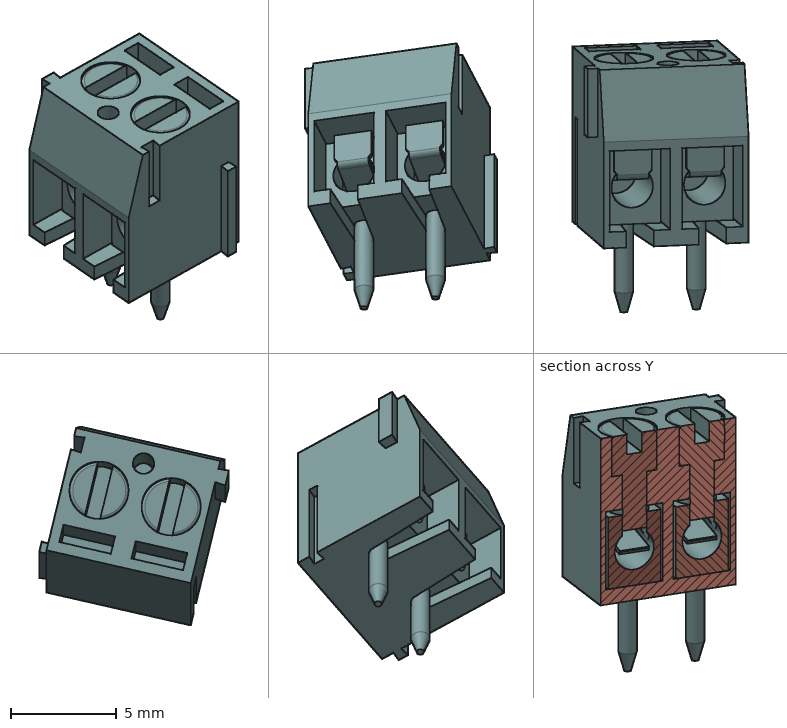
import cadquery as cq
import math


WIDTH = 7.0
DEPTH = 7.0
HEIGHT = 8.42
SLOPE_DEPTH = 0.9
SLOPE_HEIGHT = 3.3
SHOULDER_Z = HEIGHT - SLOPE_HEIGHT

PITCH = 3.5
POLE_XS = [-PITCH / 2, PITCH / 2]
POLE_Y = 3.6

FLOOR = 0.78
OPENING_WIDTH = 2.93
OPENING_HEIGHT = 3.89
OPENING_TOP = FLOOR + OPENING_HEIGHT
FLOOR_SLOT_WIDTH = 1.34

CAGE_FRONT = 1.75
CAGE_WIDTH = 2.75
CAGE_HEIGHT = 3.61
CAGE_DEPTH = 2 * (POLE_Y - CAGE_FRONT)
CAGE_BACK = CAGE_FRONT + CAGE_DEPTH
WIRE_DIAMETER = 2.0
WIRE_Z = FLOOR + 1.79
PIN_DIAMETER = 0.9
PIN_LENGTH = 3.78
PIN_TIP_DIAMETER = 0.33
PIN_TIP_LENGTH = 1.0

HEAD_DIAMETER = 2.79
HEAD_LENGTH = 2.0
HEAD_FILLET = 0.15
SHANK_DIAMETER = 2.0
SHANK_END_Z = WIRE_Z + WIRE_DIAMETER / 2
DRIVER_SLOT_WIDTH = 0.75
DRIVER_SLOT_DEPTH = 1.0

LEAF_THICKNESS = 0.2
LEAF_WIDTH = 1.8
LEAF_TIP_WIDTH = 1.52
LEAF_TAPER_Z = FLOOR + 2.6
LEAF_BEND_Z = FLOOR + 2.43
LEAF_BEND_RADIUS = 0.29
LEAF_BEND_ANGLE = math.radians(79)
LEAF_TIP_LENGTH = 2.62

WINDOW_WIDTH = 2.5
WINDOW_DEPTH = 0.87
WINDOW_BACK_WALL = 0.52
WINDOW_Y = DEPTH - WINDOW_BACK_WALL - WINDOW_DEPTH / 2
TOP_POCKET_DEPTH = 2.0
BLIND_HOLE_DIAMETER = 1.0
BLIND_HOLE_Y = 1.85

DOVETAIL_REACH = 0.5
FRONT_DOVETAIL_Y = 1.63
FRONT_DOVETAIL_ROOT = 0.66
FRONT_DOVETAIL_TIP = 0.76
REAR_DOVETAIL_Y = DEPTH - 0.88
REAR_DOVETAIL_ROOT = 0.45
REAR_DOVETAIL_TIP = 0.54


def block(width, depth, height, x, y_front, z_bottom):
    """Box centred on x, reaching back from y_front and up from z_bottom."""
    box = cq.Workplane("XY").box(width, depth, height, centered=(True, False, False))
    return box.translate((x, y_front, z_bottom))


def post(diameter, x, y, z_bottom, z_top):
    """Vertical cylinder."""
    return cq.Workplane("XY", origin=(x, y, z_bottom)).circle(diameter / 2).extrude(z_top - z_bottom)


def dovetail(root_x, direction, y, root, tip, z_bottom, height):
    """Vertical bar that widens from root_x outward along X in the given direction."""
    tip_x = root_x + direction * DOVETAIL_REACH
    outline = [
        (root_x, y - root / 2),
        (tip_x, y - tip / 2),
        (tip_x, y + tip / 2),
        (root_x, y + root / 2),
    ]
    return cq.Workplane("XY", origin=(0, 0, z_bottom)).polyline(outline).close().extrude(height)


def front_dovetail(root_x, direction):
    return dovetail(root_x, direction, FRONT_DOVETAIL_Y, FRONT_DOVETAIL_ROOT, FRONT_DOVETAIL_TIP,
                    SHOULDER_Z, SLOPE_HEIGHT)


def rear_dovetail(root_x, direction):
    return dovetail(root_x, direction, REAR_DOVETAIL_Y, REAR_DOVETAIL_ROOT, REAR_DOVETAIL_TIP,
                    0, SHOULDER_Z)


def make_pole_cavity(x):
    """Everything removed from the housing for one pole."""
    opening = block(OPENING_WIDTH, CAGE_BACK, OPENING_HEIGHT, x, 0, FLOOR)
    floor_slot_outline = [
        (-FLOOR_SLOT_WIDTH / 2, 0),
        (FLOOR_SLOT_WIDTH / 2, 0),
        (PIN_DIAMETER / 2, POLE_Y),
        (-PIN_DIAMETER / 2, POLE_Y),
    ]
    floor_slot = cq.Workplane("XY", origin=(x, 0, 0)).polyline(floor_slot_outline).close().extrude(FLOOR)
    floor_slot_end = post(PIN_DIAMETER, x, POLE_Y, 0, FLOOR)
    head_bore = post(HEAD_DIAMETER, x, POLE_Y, HEIGHT - HEAD_LENGTH, HEIGHT)
    shank_bore = post(SHANK_DIAMETER, x, POLE_Y, OPENING_TOP, HEIGHT - HEAD_LENGTH)
    window = block(WINDOW_WIDTH, WINDOW_DEPTH, TOP_POCKET_DEPTH,
                   x, WINDOW_Y - WINDOW_DEPTH / 2, HEIGHT - TOP_POCKET_DEPTH)
    return (
        opening.union(floor_slot)
        .union(floor_slot_end)
        .union(shank_bore)
        .union(head_bore)
        .union(window)
    )


def make_housing():
    side_profile = [
        (0, 0),
        (DEPTH, 0),
        (DEPTH, HEIGHT),
        (SLOPE_DEPTH, HEIGHT),
        (0, SHOULDER_Z),
    ]
    body = cq.Workplane("YZ").polyline(side_profile).close().extrude(WIDTH / 2, both=True)

    for x in POLE_XS:
        body = body.cut(make_pole_cavity(x))
    body = body.cut(post(BLIND_HOLE_DIAMETER, 0, BLIND_HOLE_Y, HEIGHT - TOP_POCKET_DEPTH, HEIGHT))

    left = -WIDTH / 2
    right = WIDTH / 2
    body = body.union(front_dovetail(left, -1)).cut(front_dovetail(right, -1))
    return body.union(rear_dovetail(right, 1)).cut(rear_dovetail(left, 1))


def make_terminal(x):
    """Cage with a wire hole, a screw hole in its roof and a pointed pin below."""
    cage = block(CAGE_WIDTH, CAGE_DEPTH, CAGE_HEIGHT, x, CAGE_FRONT, FLOOR)
    wire_hole = (
        cq.Workplane("XZ", origin=(x, CAGE_FRONT, WIRE_Z))
        .circle(WIRE_DIAMETER / 2)
        .extrude(-CAGE_DEPTH)
    )
    screw_hole = post(SHANK_DIAMETER, x, POLE_Y, WIRE_Z, FLOOR + CAGE_HEIGHT)

    pin_profile = [
        (0, FLOOR),
        (PIN_DIAMETER / 2, FLOOR),
        (PIN_DIAMETER / 2, PIN_TIP_LENGTH - PIN_LENGTH),
        (PIN_TIP_DIAMETER / 2, -PIN_LENGTH),
        (0, -PIN_LENGTH),
    ]
    pin = (
        cq.Workplane("XZ", origin=(x, POLE_Y, 0))
        .polyline(pin_profile)
        .close()
        .revolve(360, (0, 0), (0, 1))
    )
    return cage.cut(wire_hole).cut(screw_hole).union(pin)


def make_screw(x):
    """Slotted screw whose head is flush with the housing top."""
    head = post(HEAD_DIAMETER, x, POLE_Y, HEIGHT - HEAD_LENGTH, HEIGHT)
    head = head.faces(">Z").fillet(HEAD_FILLET)
    shank = post(SHANK_DIAMETER, x, POLE_Y, SHANK_END_Z, HEIGHT - HEAD_LENGTH)
    driver_slot = block(DRIVER_SLOT_WIDTH, HEAD_DIAMETER, DRIVER_SLOT_DEPTH,
                        x, POLE_Y - HEAD_DIAMETER / 2, HEIGHT - DRIVER_SLOT_DEPTH)
    return head.union(shank).cut(driver_slot)


def make_leaf(x):
    """Strip on the cage front whose narrowed lower end bends back into the wire hole."""
    front = CAGE_FRONT - LEAF_THICKNESS
    bend_centre_y = front + LEAF_BEND_RADIUS
    inner_radius = LEAF_BEND_RADIUS - LEAF_THICKNESS

    def on_bend(radius, angle, along=0):
        """Point (y, z) at an angle round the bend, moved along the tangent there."""
        y = bend_centre_y - radius * math.cos(angle) + along * math.sin(angle)
        z = LEAF_BEND_Z - radius * math.sin(angle) - along * math.cos(angle)
        return (y, z)

    half_angle = LEAF_BEND_ANGLE / 2
    bent_strip = (
        cq.Workplane("YZ", origin=(x, 0, 0))
        .moveTo(front, OPENING_TOP)
        .lineTo(front, LEAF_BEND_Z)
        .threePointArc(on_bend(LEAF_BEND_RADIUS, half_angle), on_bend(LEAF_BEND_RADIUS, LEAF_BEND_ANGLE))
        .lineTo(*on_bend(LEAF_BEND_RADIUS, LEAF_BEND_ANGLE, LEAF_TIP_LENGTH))
        .lineTo(*on_bend(inner_radius, LEAF_BEND_ANGLE, LEAF_TIP_LENGTH))
        .lineTo(*on_bend(inner_radius, LEAF_BEND_ANGLE))
        .threePointArc(on_bend(inner_radius, half_angle), (CAGE_FRONT, LEAF_BEND_Z))
        .lineTo(CAGE_FRONT, OPENING_TOP)
        .close()
        .extrude(LEAF_WIDTH / 2, both=True)
    )
    front_outline = [
        (-LEAF_WIDTH / 2, OPENING_TOP),
        (-LEAF_WIDTH / 2, LEAF_TAPER_Z),
        (-LEAF_TIP_WIDTH / 2, LEAF_BEND_Z),
        (-LEAF_TIP_WIDTH / 2, FLOOR),
        (LEAF_TIP_WIDTH / 2, FLOOR),
        (LEAF_TIP_WIDTH / 2, LEAF_BEND_Z),
        (LEAF_WIDTH / 2, LEAF_TAPER_Z),
        (LEAF_WIDTH / 2, OPENING_TOP),
    ]
    outline_prism = (
        cq.Workplane("XZ", origin=(x, 0, 0)).polyline(front_outline).close().extrude(-CAGE_BACK)
    )
    return bent_strip.intersect(outline_prism)


housing = make_housing()
terminals = [make_terminal(x) for x in POLE_XS]
screws = [make_screw(x) for x in POLE_XS]
leaves = [make_leaf(x) for x in POLE_XS]

bodies = [housing, *terminals, *screws, *leaves]
result = cq.Compound.makeCompound([body.solids().val() for body in bodies])